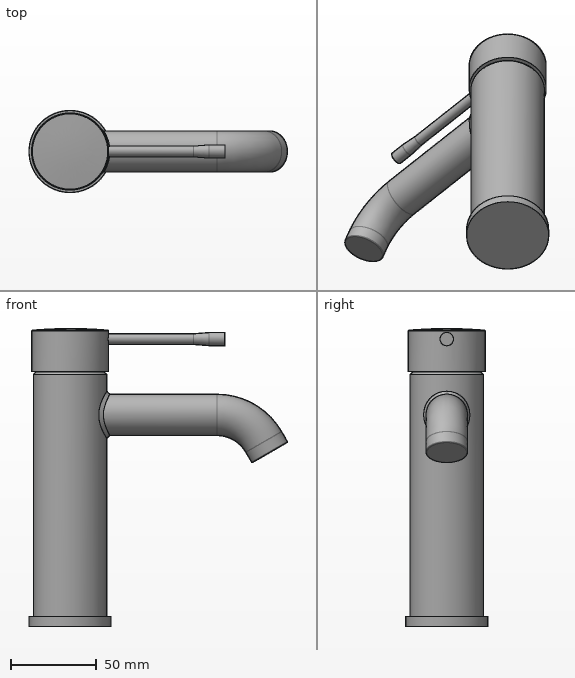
import cadquery as cq
import math

base_diameter = 48.0
base_height = 6.0

neck_diameter = 40.0

column_diameter = 43.0
column_top = 148.5
column_chamfer = (column_diameter - neck_diameter) / 2

cap_diameter = 45.0
cap_bottom = 148.8
cap_chamfer = 0.5
cap_edge_height = 173.0
overall_height = 173.94

lever_height = 167.7
lever_rod_diameter = 6.35
lever_tip_diameter = 7.79
lever_taper_start = 72.0
lever_tip_start = 81.2
lever_end = 90.3
lever_socket_depth = 8.0
lever_start = cap_diameter / 2 - lever_socket_depth

spout_diameter = 24.2
spout_height = 123.5
spout_bend_start = 85.7
spout_bend_radius = 31.5
spout_bend_angle = 60.0
spout_outlet_length = 7.2
spout_joint_chamfer = 1.7
spout_rim_fillet = 0.5


def make_base():
    return cq.Workplane("XY").circle(base_diameter / 2).extrude(base_height)


def make_spout():
    """Sweep a disc along the spout's centreline and round the rim of its outlet."""
    angle = math.radians(spout_bend_angle)
    bend_center_height = spout_height - spout_bend_radius
    bend_end_x = spout_bend_start + spout_bend_radius * math.sin(angle)
    bend_end_z = bend_center_height + spout_bend_radius * math.cos(angle)
    bend_middle_x = spout_bend_start + spout_bend_radius * math.sin(angle / 2)
    bend_middle_z = bend_center_height + spout_bend_radius * math.cos(angle / 2)
    centreline = (
        cq.Workplane("XZ")
        .moveTo(0, spout_height)
        .lineTo(spout_bend_start, spout_height)
        .threePointArc((bend_middle_x, bend_middle_z), (bend_end_x, bend_end_z))
        .line(spout_outlet_length * math.cos(angle), -spout_outlet_length * math.sin(angle))
    )
    spout = cq.Workplane("YZ", origin=(0, 0, spout_height)).circle(spout_diameter / 2).sweep(centreline)
    return spout.faces("<Z").edges().fillet(spout_rim_fillet)


def make_column():
    """Column and spout as one solid, with a chamfer all round the joint between them."""
    column_radius = column_diameter / 2
    column = cq.Workplane("XY", origin=(0, 0, base_height)).circle(column_radius)
    column = column.extrude(column_top - base_height).faces(">Z").chamfer(column_chamfer)
    joint_box = cq.selectors.BoxSelector(
        (0, -spout_diameter, spout_height - spout_diameter),
        (column_radius + spout_joint_chamfer, spout_diameter, spout_height + spout_diameter),
        boundingbox=True,
    )
    return column.union(make_spout()).edges(joint_box).chamfer(spout_joint_chamfer)


def make_neck():
    neck = cq.Workplane("XY").workplane(offset=column_top)
    return neck.circle(neck_diameter / 2).extrude(cap_bottom - column_top)


def make_lever():
    rod_radius = lever_rod_diameter / 2
    tip_radius = lever_tip_diameter / 2
    profile = (
        cq.Workplane("XZ", origin=(0, 0, lever_height))
        .moveTo(lever_start, 0)
        .lineTo(lever_start, rod_radius)
        .lineTo(lever_taper_start, rod_radius)
        .lineTo(lever_tip_start, tip_radius)
        .lineTo(lever_end, tip_radius)
        .lineTo(lever_end, 0)
        .close()
    )
    return profile.revolve(360, (0, 0), (1, 0))


def make_cap(lever):
    """Chamfered drum topped by a spherical dome, with a socket that the lever fills."""
    cap_radius = cap_diameter / 2
    dome_radius = cap_radius - cap_chamfer
    dome_rise = overall_height - cap_edge_height
    sphere_radius = (dome_radius**2 + dome_rise**2) / (2 * dome_rise)
    arc_middle_x = dome_radius / 2
    arc_middle_z = overall_height - sphere_radius + math.sqrt(sphere_radius**2 - arc_middle_x**2)
    profile = (
        cq.Workplane("XZ")
        .moveTo(0, cap_bottom)
        .lineTo(cap_radius, cap_bottom)
        .lineTo(cap_radius, cap_edge_height - cap_chamfer)
        .lineTo(dome_radius, cap_edge_height)
        .threePointArc((arc_middle_x, arc_middle_z), (0, overall_height))
        .close()
    )
    return profile.revolve(360, (0, 0), (0, 1)).cut(lever)


base = make_base()
column = make_column()
neck = make_neck()
lever = make_lever()
cap = make_cap(lever)

result = cq.Compound.makeCompound([base.val(), column.val(), neck.val(), cap.val(), lever.val()])